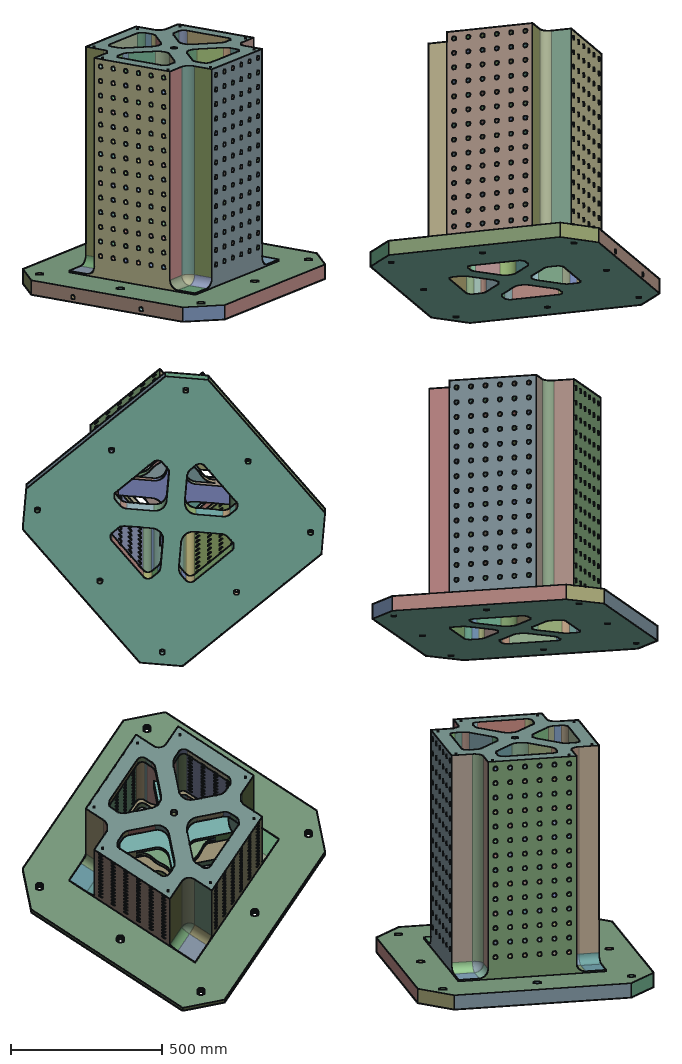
import cadquery as cq
import math

side = 800.0
pitch = side / 16

plate_thickness = pitch
plate_chamfer = 2 * pitch
bolt_spacing = 320.0
bolt_diameter = 18.0
counterbore_diameter = 26.0
counterbore_depth = 18.0
plate_side_hole_x = 135.0
plate_side_hole_z = 18.0
plate_side_hole_depth = 32.0

column_width = 10 * pitch
column_half = column_width / 2
arm_half = 3 * pitch
notch_radius = 30.0
pad_height = 6.0

wall = 40.0
cavity_half = column_half - wall
cavity_arm_half = arm_half - wall
cavity_inner_radius = notch_radius + wall
pocket_half = column_half - pitch
pocket_arm_half = 101.0
corner_radius = 20.0
web_width = 60.0
web_length = 400.0
web_radius = 40.0
flank_radius = 32.0
end_web_height = 75.0
middle_web_height = 2 * pitch
hub_radius = 2 * pitch
hub_height = 40.0
hub_blend_radius = 60.0

hole_diameter = 14.0
hole_columns = 6
hole_rows = 14
blind_top_rows = 2
blind_depth = 32.0
through_depth = wall + hole_diameter / 2
drill_point_angle = 118.0

lift_hole_diameter = 21.0
lift_hole_depth = 40.0
pin_diameter = 5.0
pin_depth = 10.0
pin_along = 130.0
pin_inset = 20.0


def drill(diameter, depth):
    """Drill body entering the XY plane downwards, with a conical point."""
    radius = diameter / 2
    point = radius / math.tan(math.radians(drill_point_angle / 2))
    profile = [(0, 0), (radius, 0), (radius, -depth), (0, -depth - point)]
    return cq.Workplane("XZ").polyline(profile).close().revolve(360, (0, 0, 0), (0, 1, 0)).val()


def quarter_turns(body):
    """The body repeated at the four quarter turns about the column axis."""
    return [body.rotate((0, 0, 0), (0, 0, 1), 90 * turn) for turn in range(4)]


def base_plate():
    plate = cq.Workplane("XY").rect(side, side).extrude(plate_thickness)
    plate = plate.edges("|Z").chamfer(plate_chamfer)
    steps = (-bolt_spacing, 0, bolt_spacing)
    bolts = [(x, y) for x in steps for y in steps if (x, y) != (0, 0)]
    return (
        plate.faces(">Z").workplane(origin=(0, 0, 0)).pushPoints(bolts)
        .cboreHole(bolt_diameter, counterbore_diameter, counterbore_depth)
    )


def corner_notch():
    """Cutter for the +X -Y corner, rounded where its inner walls and floor meet."""
    floor = plate_thickness + pad_height
    box = cq.Workplane("XY").box(side / 2, side / 2, side, centered=False)
    box = box.edges("(<X and <Y) or (<X and <Z) or (<Y and <Z)").fillet(notch_radius)
    return box.rotate((0, 0, 0), (0, 0, 1), -90).translate((arm_half, -arm_half, floor))


def web_pocket():
    """Pocket on the -Y side between two diagonal webs, through the full height."""
    tip = web_width / math.sqrt(2)
    outline = [
        (0, -tip),
        (pocket_arm_half, -tip - pocket_arm_half),
        (pocket_arm_half, -pocket_half),
        (-pocket_arm_half, -pocket_half),
        (-pocket_arm_half, -tip - pocket_arm_half),
    ]
    pocket = cq.Workplane("XY").polyline(outline).close().extrude(side)
    pocket = pocket.edges("|Z and >Y").fillet(web_radius)
    pocket = pocket.edges("|Z and <Y").fillet(corner_radius)
    flank_edges = cq.selectors.BoxSelector(
        (-arm_half, -pocket_half + corner_radius, 0), (arm_half, -tip - web_radius, side)
    )
    return pocket.edges("|Z").edges(flank_edges).edges("<X or >X").fillet(flank_radius)


def cross_cavity():
    """Plus-shaped hollow between the webs at the two ends."""
    height = side - 2 * end_web_height
    arm_x = cq.Workplane("XY").rect(2 * cavity_half, 2 * cavity_arm_half).extrude(height)
    arm_x = arm_x.edges("|Z").fillet(corner_radius)
    arm_y = arm_x.rotate((0, 0, 0), (0, 0, 1), 90)
    inner_edges = cq.selectors.BoxSelector((-arm_half, -arm_half, 0), (arm_half, arm_half, height))
    cross = arm_x.union(arm_y).edges("|Z").edges(inner_edges).fillet(cavity_inner_radius)
    return cross.translate((0, 0, end_web_height))


def web_cross(core, height, blend_radius):
    """Two crossing diagonal webs at mid height, blended into each other and into a round core."""
    cross = cq.Workplane("XY").circle(core).extrude(height)
    for length, width in ((web_length, web_width), (web_width, web_length)):
        cross = cross.union(cq.Workplane("XY").rect(length, width).extrude(height))
    reach = core + web_width / 4
    inner_edges = cq.selectors.BoxSelector((-reach, -reach, 0), (reach, reach, height))
    cross = cross.edges("|Z").edges(inner_edges).fillet(blend_radius)
    return cross.rotate((0, 0, 0), (0, 0, 1), 45).translate((0, 0, (side - height) / 2))


def face_drills():
    """Grid of fixture holes on the -Y face: blind in the top rows and the outer columns."""
    blind = drill(hole_diameter, blind_depth).rotate(cq.Vector(), cq.Vector(1, 0, 0), 90)
    through = cq.Solid.makeCylinder(hole_diameter / 2, through_depth, cq.Vector(), cq.Vector(0, 1, 0))
    drills = []
    for row in range(hole_rows):
        z = side - (row + 0.5) * pitch
        for column in range(hole_columns):
            x = (column - (hole_columns - 1) / 2) * pitch
            is_blind = row < blind_top_rows or column in (0, hole_columns - 1)
            tool = blind if is_blind else through
            drills.append(tool.translate(cq.Vector(x, -column_half, z)))
    return cq.Compound.makeCompound(drills)


def pin_drills():
    """Pair of pin holes in the top face beside the -Y face."""
    pin = drill(pin_diameter, pin_depth)
    y = pin_inset - column_half
    return cq.Compound.makeCompound(
        [pin.translate(cq.Vector(x, y, side)) for x in (-pin_along, pin_along)]
    )


def plate_side_drills():
    tool = drill(hole_diameter, plate_side_hole_depth).rotate(cq.Vector(), cq.Vector(1, 0, 0), 90)
    return cq.Compound.makeCompound([
        tool.translate(cq.Vector(x, -side / 2, plate_side_hole_z))
        for x in (-plate_side_hole_x, plate_side_hole_x)
    ])


def undrilled_body():
    """Plate and hollow column with every hole except those in the column faces."""
    column = cq.Workplane("XY").rect(column_width, column_width).extrude(side)
    for notch in quarter_turns(corner_notch()):
        column = column.cut(notch)
    body = base_plate().union(column)
    for pocket in quarter_turns(web_pocket()):
        body = body.cut(pocket)
    body = body.cut(cross_cavity(), clean=False)
    middle_web = web_cross(web_width / 2, middle_web_height, web_radius)
    hub = web_cross(hub_radius, hub_height, hub_blend_radius)
    body = body.union(middle_web.union(hub), clean=False)
    lift = drill(lift_hole_diameter, lift_hole_depth).translate(cq.Vector(0, 0, side))
    for drills in quarter_turns(pin_drills()) + [plate_side_drills(), lift]:
        body = body.cut(cq.Workplane(drills), clean=False)
    return body


def is_wall_face(face):
    """True for a face that lies wholly within one of the four flat walls of the column."""
    box = face.BoundingBox()
    nearest = max(box.xmin, -box.xmax, box.ymin, -box.ymax)
    return nearest > wall_zone and box.zmax > plate_thickness + pad_height


plain = undrilled_body()
drilled = plain.cut(cq.Workplane(face_drills()), clean=False)
wall_zone = (cavity_half + pocket_half) / 2
skin = [face for face in plain.faces().vals() if not is_wall_face(face)]
for face in drilled.faces().vals():
    if is_wall_face(face) and face.Center().y < -wall_zone:
        skin.extend(quarter_turns(face))
result = cq.Workplane(cq.Solid.makeSolid(cq.Shell.makeShell(skin)))